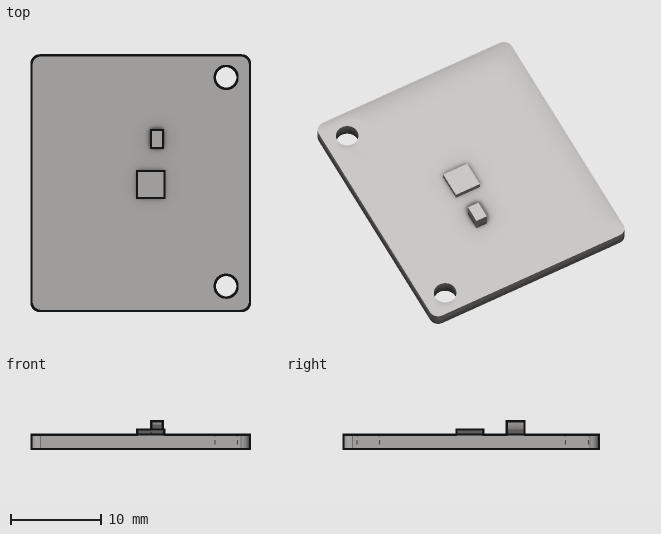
import cadquery as cq

board_length_x = 24.2
board_length_y = 28.3
board_thickness = 1.6
corner_radius = 1.0

hole_diameter = 2.5
hole_edge_offset_x = 2.65
hole_x = board_length_x / 2 - hole_edge_offset_x
upper_hole_y = 11.7
lower_hole_y = -11.4

chip_side = 3.0
chip_height = 0.6
chip_center = (1.1, -0.15)

component_length_x = 1.3
component_length_y = 2.0
component_height = 1.5
component_center = (1.8, 4.9)


def make_board():
    """Rounded plate with two through holes."""
    plate = (
        cq.Workplane("XY")
        .rect(board_length_x, board_length_y)
        .extrude(board_thickness)
        .edges("|Z")
        .fillet(corner_radius)
    )
    return (
        plate.faces(">Z")
        .workplane(origin=(0, 0, board_thickness))
        .pushPoints([(hole_x, upper_hole_y), (hole_x, lower_hole_y)])
        .hole(hole_diameter)
    )


def make_block(center, length_x, length_y, height):
    """Rectangular block standing on the top face of the board."""
    return (
        cq.Workplane("XY", origin=(0, 0, board_thickness))
        .center(*center)
        .rect(length_x, length_y)
        .extrude(height)
    )


chip = make_block(chip_center, chip_side, chip_side, chip_height)
component = make_block(component_center, component_length_x, component_length_y, component_height)

result = make_board().union(chip).union(component)